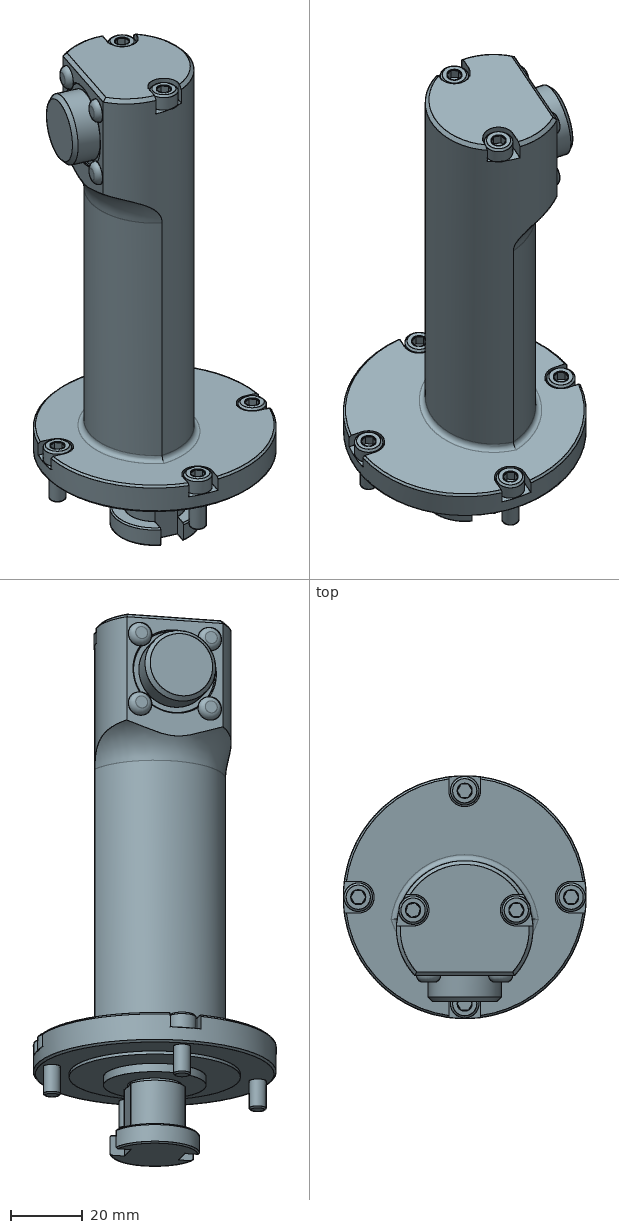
import cadquery as cq
import math

total_height = 149.4

flange_diameter = 67.5
flange_bottom = 23.3
flange_top = 31.8
flange_chamfer = 0.6
seat_diameter = 47.6
seat_bottom = 22.4
pilot_diameter = 28.5
pilot_bottom = 20.0

neck_diameter = 15.1
shaft_top = 19.1
shaft_diameter = 17.2
disc_diameter = 25.0
disc_height = 5.7
disc_chamfer = 0.5
keyway_width = 6.9
keyway_floor = 7.8

head_radius = 19.0
column_back = 10.2
head_center_y = column_back - head_radius
column_front_radius = 19.7
head_face_y = -21.8
column_top = 108.3
transition_radius = 11.6
head_chamfer = 1.0
root_fillet = 1.6

screw_head_diameter = 7.9
screw_rim_diameter = 6.7
screw_head_height = 4.6
socket_diameter = 4.2
socket_mouth_depth = 0.3
socket_depth = 3.0
shank_diameter = 4.8
shank_chamfer = 0.5
shank_end = 15.1
pocket_width = 8.8
flange_screw_radius = 29.5
flange_pocket_floor = 27.6
head_screw_x = 14.3
head_screw_y = -3.6
left_socket_twist = 15
head_pocket_floor = 144.0

plug_center_z = 133.5
plug_diameter = 20.3
plug_end_y = -29.0
plug_chamfer = 1.2
recess_diameter = 23.9
recess_depth = 0.7
recess_chamfer = 0.3
button_spacing = 20.0
button_diameter = 6.7
button_flat_diameter = 3.5
button_height = 1.8
button_bulge_radius = 3.0
button_bulge_height = 1.0


def cylinder(diameter, bottom, top, x=0, y=0):
    """Upright cylinder between two heights."""
    return cq.Workplane("XY", origin=(x, y, bottom)).circle(diameter / 2).extrude(top - bottom)


def face_cylinder(diameter, start_y, end_y):
    """Cylinder along -Y on the plug axis."""
    plane = cq.Workplane("XZ", origin=(0, start_y, plug_center_z))
    return plane.circle(diameter / 2).extrude(start_y - end_y)


def screw_pocket(x, y, floor, top, angle):
    """U-shaped pocket round a screw, open outward along the given direction."""
    reach = 2 * pocket_width
    round_end = cylinder(pocket_width, floor, top)
    mouth = cq.Workplane("XY", origin=(0, 0, floor)).rect(reach, pocket_width).extrude(top - floor)
    mouth = mouth.translate((reach / 2, 0, 0))
    return round_end.union(mouth).rotate((0, 0, 0), (0, 0, 1), angle).translate((x, y, 0))


def screw_head(x, y, floor, twist=0):
    """Cap screw head with a chamfered rim and a hexagon socket below a round mouth."""
    top = floor + screw_head_height
    head = cylinder(screw_head_diameter, floor, top)
    head = head.faces(">Z").chamfer((screw_head_diameter - screw_rim_diameter) / 2)
    mouth = cylinder(socket_diameter, top - socket_mouth_depth, top)
    hexagon = cq.Workplane("XY", origin=(0, 0, top - socket_depth)).polygon(6, socket_diameter)
    head = head.cut(mouth).cut(hexagon.extrude(socket_depth))
    return head.rotate((0, 0, 0), (0, 0, 1), twist).translate((x, y, 0))


def make_flange():
    flange = cylinder(flange_diameter, flange_bottom, flange_top)
    flange = flange.faces("<Z or >Z").chamfer(flange_chamfer)
    seat = cylinder(seat_diameter, seat_bottom, flange_bottom)
    pilot = cylinder(pilot_diameter, pilot_bottom, seat_bottom)
    return flange.union(seat).union(pilot)


def make_shaft():
    neck = cylinder(neck_diameter, shaft_top, pilot_bottom)
    disc = cylinder(disc_diameter, 0, disc_height).faces("<Z or >Z").chamfer(disc_chamfer)
    shaft = cylinder(shaft_diameter, 0, shaft_top).union(disc)
    for side in (-1, 1):
        keyway_x = side * (keyway_floor + disc_diameter / 2)
        keyway = cq.Workplane("XY", origin=(keyway_x, 0, 0)).rect(disc_diameter, keyway_width)
        shaft = shaft.cut(keyway.extrude(shaft_top))
    return shaft.union(neck)


def flared_cylinder(radius, y):
    """Column cylinder whose foot widens in a concave fillet onto the flange."""
    flare_radius = radius + root_fillet
    flare_top = flange_top + root_fillet
    middle = root_fillet * math.sqrt(0.5)
    return (
        cq.Workplane("XZ", origin=(0, y, 0))
        .moveTo(0, flange_top)
        .lineTo(flare_radius, flange_top)
        .threePointArc((flare_radius - middle, flare_top - middle), (radius, flare_top))
        .lineTo(radius, column_top)
        .lineTo(0, column_top)
        .close()
        .revolve(360, (0, 0, 0), (0, 1, 0))
    )


def make_column_and_head():
    rear_round = flared_cylinder(head_radius, head_center_y)
    column = rear_round.intersect(flared_cylinder(column_front_radius, 0))

    head = cylinder(2 * head_radius, column_top, total_height, 0, head_center_y)
    cutter_side = 2 * head_radius
    cutter = cq.Workplane("XY", origin=(0, head_face_y - cutter_side / 2, column_top))
    cutter = cutter.rect(cutter_side, cutter_side).extrude(total_height - column_top)
    head = head.cut(cutter)
    head = head.faces(">Z").chamfer(head_chamfer)

    outer_radius = column_front_radius + transition_radius
    middle = transition_radius * math.sqrt(0.5)
    sweep = (
        cq.Workplane("XZ")
        .moveTo(column_front_radius, column_top)
        .threePointArc(
            (outer_radius - middle, column_top + middle),
            (outer_radius, column_top + transition_radius),
        )
        .lineTo(outer_radius, column_top)
        .close()
        .revolve(360, (0, 0, 0), (0, 1, 0))
    )
    return column.union(head.cut(sweep))


def make_button_screw():
    """Domed screw head: an arc from the rim to the flat end, turned about its axis."""
    rim = button_diameter / 2
    flat = button_flat_diameter / 2
    bulge = (button_bulge_radius, button_bulge_height)
    dome = (
        cq.Workplane("XY")
        .lineTo(rim, 0)
        .threePointArc(bulge, (flat, button_height))
        .lineTo(0, button_height)
        .close()
        .revolve(360, (0, 0, 0), (0, 1, 0))
    )
    return dome.rotate((0, 0, 0), (0, 0, 1), 180)


def add_face_parts(body):
    recess_floor = head_face_y + recess_depth
    recess = face_cylinder(recess_diameter, recess_floor, head_face_y)
    body = body.cut(recess.faces(">Y").chamfer(recess_chamfer))
    plug = face_cylinder(plug_diameter, recess_floor, plug_end_y).faces("<Y").chamfer(plug_chamfer)
    body = body.union(plug)
    button = make_button_screw()
    for side in (-1, 1):
        for level in (-1, 1):
            x = side * button_spacing / 2
            z = plug_center_z + level * button_spacing / 2
            body = body.union(button.translate((x, head_face_y, z)))
    return body


def add_flange_screws(body):
    for angle in (0, 90, 180, 270):
        x = flange_screw_radius * math.cos(math.radians(angle))
        y = flange_screw_radius * math.sin(math.radians(angle))
        body = body.cut(screw_pocket(x, y, flange_pocket_floor, flange_top, angle))
        shank = cylinder(shank_diameter, shank_end, flange_bottom, x, y)
        shank = shank.faces("<Z").chamfer(shank_chamfer)
        body = body.union(screw_head(x, y, flange_pocket_floor)).union(shank)
    return body


def add_head_screws(body):
    for side, angle, twist in ((1, 0, 0), (-1, 180, left_socket_twist)):
        x = side * head_screw_x
        body = body.cut(screw_pocket(x, head_screw_y, head_pocket_floor, total_height, angle))
        body = body.union(screw_head(x, head_screw_y, head_pocket_floor, twist))
    return body


body = make_flange().union(make_column_and_head())
body = body.union(make_shaft())
body = add_flange_screws(body)
body = add_head_screws(body)
result = add_face_parts(body)